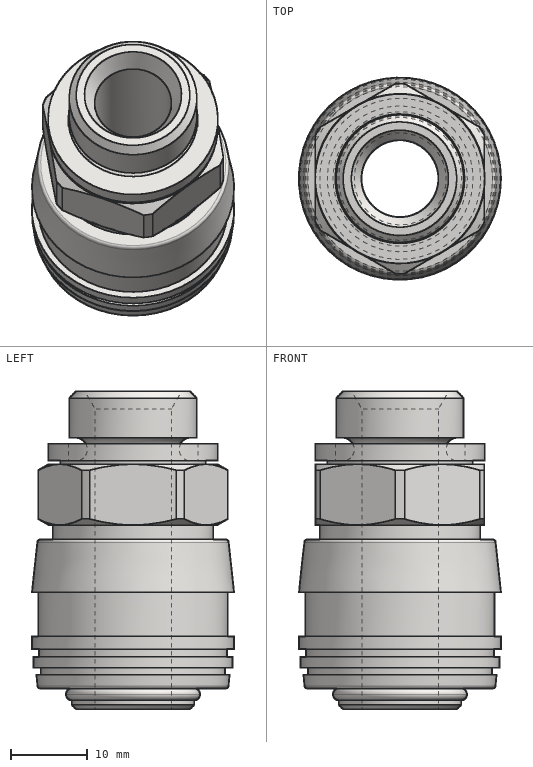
import cadquery as cq
import math

BORE_DIAMETER = 10.0
MOUTH_DIAMETER = 12.65
MOUTH_ANGLE = 60

TOP_Z = 41.5
SPIGOT_DIAMETER = 16.65
SPIGOT_BOTTOM_Z = 35.4
SPIGOT_CHAMFER = 0.9
NECK_DIAMETER = 12.0

WASHER_DIAMETER = 22.15
WASHER_HOLE_DIAMETER = 16.9
WASHER_TOP_Z = 34.65
WASHER_BOTTOM_Z = 32.4
COLLAR_DIAMETER = 19.0

HEX_ACROSS_FLATS = 22.05
HEX_CORNER_DIAMETER = 24.78
HEX_TOP_Z = 31.95
HEX_BOTTOM_Z = 24.03
HEX_CHAMFER_ANGLE = 30

SHANK_DIAMETER = 21.0

SLEEVE_TOP_Z = 22.15
SLEEVE_TOP_DIAMETER = 24.9
SLEEVE_HEAD_BOTTOM_Z = 15.25
SLEEVE_MAX_DIAMETER = 26.4
SLEEVE_FILLET = 0.4

GRIP_DIAMETER = 24.75
RING_1_TOP_Z = 9.5
RING_1_BOTTOM_Z = 7.85
GROOVE_1_DIAMETER = 24.55
RING_2_DIAMETER = 26.0
RING_2_TOP_Z = 6.85
RING_2_BOTTOM_Z = 5.4
GROOVE_2_DIAMETER = 24.05
RING_3_TOP_DIAMETER = 25.25
RING_3_BOTTOM_DIAMETER = 24.9
RING_3_TOP_Z = 4.52
SLEEVE_BOTTOM_Z = 2.7

NOSE_DIAMETER = 16.0
NOSE_CHAMFER = 0.6
BEAD_DIAMETER = 17.5
BEAD_THICKNESS = 1.58
BEAD_CENTRE_Z = 1.95


def cylinder(diameter, bottom_z, top_z):
    return cq.Workplane("XY").workplane(offset=bottom_z).circle(diameter / 2).extrude(top_z - bottom_z)


def cone(bottom_diameter, top_diameter, bottom_z, top_z):
    return cq.Workplane("XY").add(
        cq.Solid.makeCone(
            bottom_diameter / 2, top_diameter / 2, top_z - bottom_z, cq.Vector(0, 0, bottom_z)
        )
    )


def make_spigot():
    """Chamfered spigot; a half-round groove forms the neck between it and the collar."""
    groove_radius = (SPIGOT_BOTTOM_Z - WASHER_BOTTOM_Z) / 2
    neck_radius = NECK_DIAMETER / 2
    rim_radius = neck_radius + groove_radius
    neck = (
        cq.Workplane("XZ")
        .moveTo(0, WASHER_BOTTOM_Z)
        .lineTo(rim_radius, WASHER_BOTTOM_Z)
        .threePointArc((neck_radius, WASHER_BOTTOM_Z + groove_radius), (rim_radius, SPIGOT_BOTTOM_Z))
        .lineTo(0, SPIGOT_BOTTOM_Z)
        .close()
        .revolve(360, (0, 0, 0), (0, 1, 0))
    )
    head = cylinder(SPIGOT_DIAMETER, SPIGOT_BOTTOM_Z, TOP_Z).faces(">Z").chamfer(SPIGOT_CHAMFER)
    return head.union(neck)


def make_washer():
    hole = cylinder(WASHER_HOLE_DIAMETER, WASHER_BOTTOM_Z, WASHER_TOP_Z)
    return cylinder(WASHER_DIAMETER, WASHER_BOTTOM_Z, WASHER_TOP_Z).cut(hole)


def make_hexagon():
    """Hexagon with corners towards +Y and -Y, turned off at both ends."""
    chamfer_width = (HEX_CORNER_DIAMETER - HEX_ACROSS_FLATS) / 2
    chamfer_height = chamfer_width * math.tan(math.radians(HEX_CHAMFER_ANGLE))
    prism = (
        cq.Workplane("XY")
        .workplane(offset=HEX_BOTTOM_Z)
        .polygon(6, HEX_ACROSS_FLATS / math.cos(math.pi / 6))
        .extrude(HEX_TOP_Z - HEX_BOTTOM_Z)
        .rotate((0, 0, 0), (0, 0, 1), 30)
    )
    turned = (
        cylinder(HEX_CORNER_DIAMETER, HEX_BOTTOM_Z, HEX_TOP_Z)
        .faces("<Z or >Z")
        .edges()
        .chamfer(chamfer_height, chamfer_width)
    )
    return prism.intersect(turned)


def make_sleeve():
    head = cone(SLEEVE_MAX_DIAMETER, SLEEVE_TOP_DIAMETER, SLEEVE_HEAD_BOTTOM_Z, SLEEVE_TOP_Z)
    sleeve = head.faces(">Z").edges().fillet(SLEEVE_FILLET)
    bands = [
        (GRIP_DIAMETER, RING_1_TOP_Z, SLEEVE_HEAD_BOTTOM_Z),
        (SLEEVE_MAX_DIAMETER, RING_1_BOTTOM_Z, RING_1_TOP_Z),
        (GROOVE_1_DIAMETER, RING_2_TOP_Z, RING_1_BOTTOM_Z),
        (RING_2_DIAMETER, RING_2_BOTTOM_Z, RING_2_TOP_Z),
        (GROOVE_2_DIAMETER, RING_3_TOP_Z, RING_2_BOTTOM_Z),
    ]
    for diameter, bottom_z, top_z in bands:
        sleeve = sleeve.union(cylinder(diameter, bottom_z, top_z))
    last_ring = cone(RING_3_BOTTOM_DIAMETER, RING_3_TOP_DIAMETER, SLEEVE_BOTTOM_Z, RING_3_TOP_Z)
    return sleeve.union(last_ring.faces("<Z").edges().fillet(SLEEVE_FILLET))


def make_nose():
    nose = cylinder(NOSE_DIAMETER, 0, SLEEVE_BOTTOM_Z).faces("<Z").chamfer(NOSE_CHAMFER)
    bead_radius = BEAD_THICKNESS / 2
    bead = cq.Workplane("XY").add(
        cq.Solid.makeTorus(BEAD_DIAMETER / 2 - bead_radius, bead_radius, cq.Vector(0, 0, BEAD_CENTRE_Z))
    )
    return nose.union(bead)


def make_bore():
    mouth_depth = (MOUTH_DIAMETER - BORE_DIAMETER) / 2 / math.tan(math.radians(MOUTH_ANGLE / 2))
    mouth = cone(BORE_DIAMETER, MOUTH_DIAMETER, TOP_Z - mouth_depth, TOP_Z)
    return cylinder(BORE_DIAMETER, 0, TOP_Z).union(mouth)


result = (
    make_spigot()
    .union(cylinder(COLLAR_DIAMETER, HEX_TOP_Z, WASHER_BOTTOM_Z))
    .union(make_washer())
    .union(make_hexagon())
    .union(cylinder(SHANK_DIAMETER, SLEEVE_TOP_Z, HEX_BOTTOM_Z))
    .union(make_sleeve())
    .union(make_nose())
    .cut(make_bore())
)